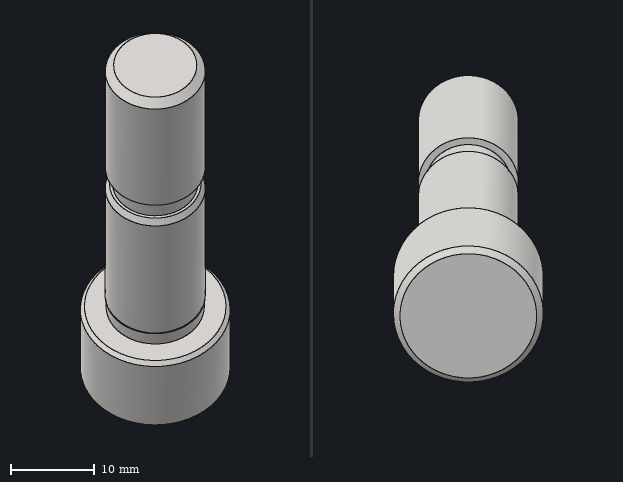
import cadquery as cq

total_length = 57.0

head_diameter = 18.0
head_height = 11.95
head_top_chamfer = 0.5
head_bottom_chamfer_width = 0.8
head_bottom_chamfer_height = 0.5

relief_diameter = 11.8
relief_length = 2.05

shank_diameter = 12.0
tip_chamfer = 1.0

groove_diameter = 10.25
groove_bottom = 35.0
groove_width = 3.0
groove_chamfer_width = 0.5
groove_chamfer_height = 0.85


def cylinder(diameter, bottom, top):
    """Solid cylinder on the Z axis between two heights."""
    return cq.Workplane("XY").workplane(offset=bottom).circle(diameter / 2).extrude(top - bottom)


head = cylinder(head_diameter, 0, head_height)
head = head.faces(">Z").chamfer(head_top_chamfer)
head = head.faces("<Z").chamfer(head_bottom_chamfer_height, head_bottom_chamfer_width)

shank_bottom = head_height + relief_length
relief = cylinder(relief_diameter, head_height, shank_bottom)

lower_shank = cylinder(shank_diameter, shank_bottom, groove_bottom)
lower_shank = lower_shank.faces(">Z").chamfer(groove_chamfer_height, groove_chamfer_width)

groove_top = groove_bottom + groove_width
groove_core = cylinder(groove_diameter, groove_bottom, groove_top)

upper_shank = cylinder(shank_diameter, groove_top, total_length)
upper_shank = upper_shank.faces(">Z").chamfer(tip_chamfer)

result = head.union(relief).union(lower_shank).union(groove_core).union(upper_shank)